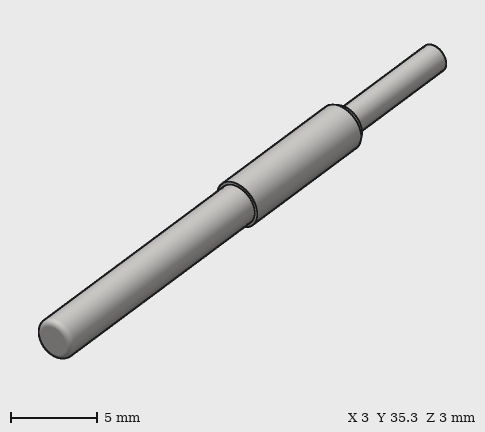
import cadquery as cq

total_length = 35.3
pin_length = 8.3
collar_length = 10.0
barrel_end_y = -total_length / 2
pin_end_y = total_length / 2
collar_back_y = pin_end_y - pin_length
collar_front_y = collar_back_y - collar_length

pin_radius = 1.8 / 2
collar_radius = 3.0 / 2
barrel_radius = 2.6 / 2
collar_chamfer_length = 0.35
collar_chamfer_depth = 0.2
barrel_rounding = 0.35


def stepped_profile():
    """Half section in the XY plane, from the barrel face to the pin end."""
    return (
        cq.Workplane("XY")
        .moveTo(0, barrel_end_y)
        .lineTo(barrel_radius - barrel_rounding, barrel_end_y)
        .radiusArc((barrel_radius, barrel_end_y + barrel_rounding), -barrel_rounding)
        .lineTo(barrel_radius, collar_front_y)
        .lineTo(collar_radius, collar_front_y)
        .lineTo(collar_radius, collar_back_y - collar_chamfer_length)
        .lineTo(collar_radius - collar_chamfer_depth, collar_back_y)
        .lineTo(pin_radius, collar_back_y)
        .lineTo(pin_radius, pin_end_y)
        .lineTo(0, pin_end_y)
        .close()
    )


result = stepped_profile().revolve(360, (0, 0, 0), (0, 1, 0))